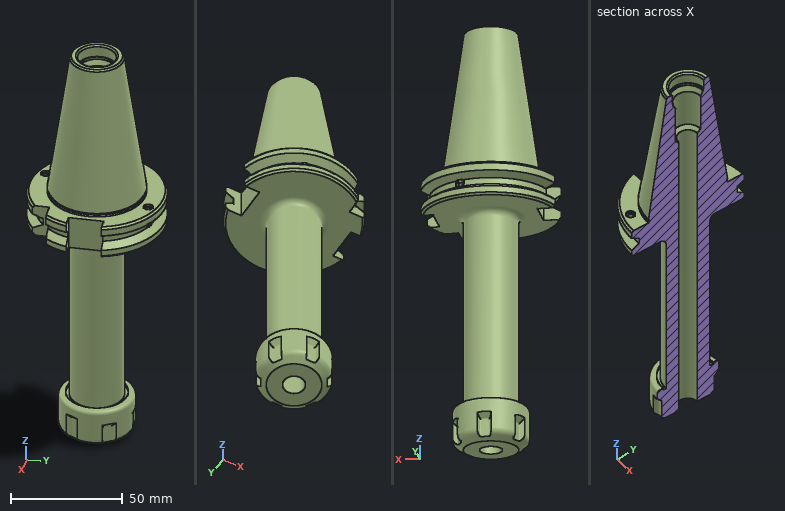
import cadquery as cq
import math

total_height = 198.4
gauge_height = 130.0
flange_top = gauge_height - 3.2
flange_bottom = gauge_height - 19.0
nut_height = 19.5

gauge_radius = 22.2
taper_slope = 7 / 48
taper_tip_chamfer = 0.8
undercut_height = 1.8
undercut_radius = 21.8
undercut_foot_radius = 22.5

flange_radius = 31.7
flange_chamfer = 1.0
groove_floor_radius = 27.8
groove_height = 118.6
groove_floor_width = 3.0
groove_flank_angle = 30.0

slot_width = 16.0
left_slot_floor = 22.6
right_slot_floor = 25.0
notch_corner = 18.3

coolant_mouth_diameter = 4.4
coolant_mouth_depth = 1.0
coolant_hole_diameter = 2.4
coolant_hole_radius = 27.0
coolant_hole_angles = (-110.0, 70.0)
feed_hole_depth = 4.0

shank_radius = 12.5
shank_fillet = 3.2

nut_radius = 17.5
nut_face_radius = 12.5
nut_face_angle = 30.0
nut_top_fillet = 1.8
nut_corner_fillet = 3.0
nut_recess_radius = 14.0
nut_recess_depth = 1.0

wrench_slot_count = 6
wrench_slot_floor_radius = 14.9
wrench_slot_floor_width = 4.5
wrench_slot_mouth_width = 6.7
wrench_slot_roof_angle = 45.0
wrench_slot_fillet = 0.5
high_slot_top = 14.5
low_slot_top = 12.5

through_radius = 5.2
thread_radius = 7.0
thread_depth = 31.7
seat_radius = 8.3
seat_depth = 7.1
seat_cone_height = 2.5
mouth_radius = 8.7
mouth_depth = 6.0
mouth_chamfer = 0.8


def ring_of_rotation(points):
    """Revolve an (r, z) outline around the Z axis."""
    return cq.Workplane("YZ").polyline(points).close().revolve(360, (0, 0, 0), (0, 1, 0))


def make_taper():
    taper_bottom = flange_top + undercut_height
    tip_radius = gauge_radius - (total_height - gauge_height) * taper_slope
    bottom_radius = gauge_radius + (gauge_height - taper_bottom) * taper_slope
    shoulder_height = total_height - taper_tip_chamfer
    shoulder_radius = tip_radius + taper_tip_chamfer * taper_slope
    return ring_of_rotation([
        (0, flange_top),
        (undercut_foot_radius, flange_top),
        (undercut_radius, flange_top + undercut_height / 3),
        (undercut_radius, flange_top + undercut_height * 2 / 3),
        (bottom_radius, taper_bottom),
        (shoulder_radius, shoulder_height),
        (shoulder_radius - taper_tip_chamfer, total_height),
        (0, total_height),
    ])


def make_flange():
    flank_rise = (flange_radius - groove_floor_radius) * math.tan(math.radians(groove_flank_angle))
    half_floor = groove_floor_width / 2
    half_mouth = half_floor + flank_rise
    return ring_of_rotation([
        (0, flange_bottom),
        (flange_radius - flange_chamfer, flange_bottom),
        (flange_radius, flange_bottom + flange_chamfer),
        (flange_radius, groove_height - half_mouth),
        (groove_floor_radius, groove_height - half_floor),
        (groove_floor_radius, groove_height + half_floor),
        (flange_radius, groove_height + half_mouth),
        (flange_radius, flange_top - flange_chamfer),
        (flange_radius - flange_chamfer, flange_top),
        (0, flange_top),
    ])


def flange_block(x_start, x_end, y_start, y_end):
    """A box as tall as the flange, used to cut its rim."""
    height = flange_top - flange_bottom
    corner = (x_start, y_start, flange_bottom)
    return cq.Workplane("XY").box(x_end - x_start, y_end - y_start, height, centered=False).translate(corner)


def cut_rim(flange):
    half_slot = slot_width / 2
    left_slot = flange_block(-flange_radius, -left_slot_floor, -half_slot, half_slot)
    right_slot = flange_block(right_slot_floor, flange_radius, -half_slot, half_slot)
    notch = flange_block(notch_corner, flange_radius, -flange_radius, -notch_corner)
    return flange.cut(left_slot).cut(right_slot).cut(notch)


def stepped_hole(mouth, direction, depth):
    """A narrow hole with a wider, shallow mouth, running from the mouth point along direction."""
    wide = cq.Solid.makeCylinder(coolant_mouth_diameter / 2, coolant_mouth_depth, mouth, direction)
    narrow = cq.Solid.makeCylinder(coolant_hole_diameter / 2, depth, mouth, direction)
    return cq.Workplane("XY").add(wide.fuse(narrow))


def cut_coolant_holes(flange):
    """At each angle, a hole down from the flange face meets one in from the groove floor."""
    face_mouth = cq.Vector(coolant_hole_radius, 0, flange_top)
    groove_mouth = cq.Vector(groove_floor_radius, 0, groove_height)
    down = stepped_hole(face_mouth, cq.Vector(0, 0, -1), flange_top - groove_height)
    inward = stepped_hole(groove_mouth, cq.Vector(-1, 0, 0), feed_hole_depth)
    for angle in coolant_hole_angles:
        for hole in (down, inward):
            flange = flange.cut(hole.rotate((0, 0, 0), (0, 0, 1), angle))
    return flange


def make_shank():
    fillet_start = flange_bottom - shank_fillet
    arc_offset = shank_fillet * (1 - math.sqrt(0.5))
    return (
        cq.Workplane("YZ")
        .moveTo(0, nut_height - nut_recess_depth)
        .lineTo(shank_radius, nut_height - nut_recess_depth)
        .lineTo(shank_radius, fillet_start)
        .threePointArc(
            (shank_radius + arc_offset, flange_bottom - arc_offset),
            (shank_radius + shank_fillet, flange_bottom))
        .lineTo(0, flange_bottom)
        .close()
        .revolve(360, (0, 0, 0), (0, 1, 0))
    )


def make_nut():
    corner_height = (nut_radius - nut_face_radius) * math.tan(math.radians(nut_face_angle))
    nut = ring_of_rotation([
        (0, 0),
        (nut_face_radius, 0),
        (nut_radius, corner_height),
        (nut_radius, nut_height),
        (0, nut_height),
    ])
    nut = nut.faces(">Z").edges().fillet(nut_top_fillet)
    corner = cq.selectors.BoxSelector(
        (-nut_radius, -nut_radius, corner_height / 2), (nut_radius, nut_radius, nut_height / 2),
        boundingbox=False)
    nut = nut.edges("%CIRCLE").edges(corner).fillet(nut_corner_fillet)
    recess = cq.Workplane("XY").workplane(offset=nut_height - nut_recess_depth)
    return nut.cut(recess.circle(nut_recess_radius).extrude(nut_recess_depth))


def wrench_slot(angle):
    """A drafted slot, open at the nut face, that widens outward."""
    is_low = math.sin(math.radians(angle)) > 0
    depth = nut_radius - wrench_slot_floor_radius
    mouth_top = low_slot_top if is_low else high_slot_top
    floor_top = mouth_top - depth * math.tan(math.radians(wrench_slot_roof_angle))
    return (
        cq.Workplane("YZ", origin=(wrench_slot_floor_radius, 0, 0))
        .rect(wrench_slot_floor_width, 2 * floor_top)
        .workplane(offset=depth)
        .rect(wrench_slot_mouth_width, 2 * mouth_top)
        .loft(ruled=True)
        .faces("<X")
        .edges()
        .fillet(wrench_slot_fillet)
        .rotate((0, 0, 0), (0, 0, 1), angle)
    )


def cut_wrench_slots(nut):
    step = 360 / wrench_slot_count
    for index in range(wrench_slot_count):
        nut = nut.cut(wrench_slot(-90 + index * step))
    return nut


def make_bore():
    seat_bottom = total_height - seat_depth
    mouth_bottom = total_height - mouth_depth
    thread_bottom = total_height - thread_depth
    return ring_of_rotation([
        (0, 0),
        (through_radius, 0),
        (through_radius, thread_bottom),
        (thread_radius, thread_bottom + thread_radius - through_radius),
        (thread_radius, seat_bottom - seat_cone_height),
        (seat_radius, seat_bottom),
        (seat_radius, mouth_bottom),
        (mouth_radius, mouth_bottom),
        (mouth_radius, total_height - mouth_chamfer),
        (mouth_radius + mouth_chamfer, total_height),
        (0, total_height),
    ])


flange = cut_coolant_holes(cut_rim(make_flange()))
nut = cut_wrench_slots(make_nut())
result = make_taper().union(flange).union(make_shank()).union(nut).cut(make_bore())